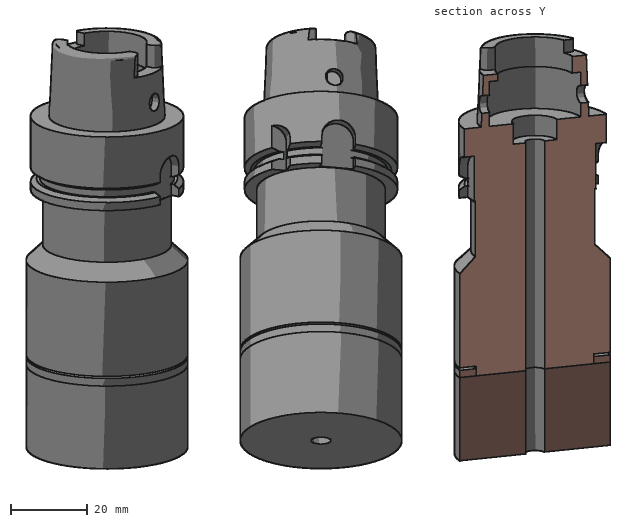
import cadquery as cq

TOTAL_HEIGHT = 110.0
BODY_RADIUS = 42.4 / 2
THROUGH_RADIUS = 5.2 / 2

NUT_HEIGHT = 22.5
RING_HEIGHT = 2.1
SPIGOT_RADIUS = 16.6

GAP_HEIGHT = 0.5
BODY_BOTTOM = NUT_HEIGHT + RING_HEIGHT + GAP_HEIGHT
BODY_TOP = 50.8
NECK_RADIUS = 16.8
NECK_BOTTOM = 55.0

SHANK_LENGTH = 20.0
FLANGE_THICKNESS = 20.0
FLANGE_RADIUS = 20.0
FLANGE_TOP = TOTAL_HEIGHT - SHANK_LENGTH
FLANGE_BOTTOM = FLANGE_TOP - FLANGE_THICKNESS
RIM_HEIGHT = 2.2
GROOVE_RADIUS = 17.6
GROOVE_FLOOR_HEIGHT = 2.1
GROOVE_CHAMFER_HEIGHT = 0.9
GROOVE_CHAMFER_DEPTH = 1.5

SLOT_WIDTH = 9.0
SLOT_TOP = 82.2
DRIVE_SLOT_FLOOR = 17.2
NOTCH_FLOOR = 11.9
NOTCH_INNER_WALL = 12.2

SHANK_BASE_RADIUS = 15.2
SHANK_TIP_RADIUS = 14.3
TIP_FILLET = 0.9
BORE_RADIUS = 10.5
LIP_HEIGHT = 8.0
UNDERCUT_RADIUS = 12.8
BORE_FLOOR = FLANGE_TOP
RECESS_RADIUS = 6.0
RECESS_DEPTH = 5.5
CROSS_HOLE_RADIUS = 2.3
CROSS_HOLE_DEPTH = 14.0

LEFT_NOTCH_DEPTH = 3.4
RIGHT_NOTCH_DEPTH = 6.0
TENON_GAP = 8.0
TENON_HALF_LENGTH = 12.9
TENON_CORNER_RADIUS = 1.6


def revolve(points):
    """Solid of revolution about Z from (radius, height) points."""
    return cq.Workplane("XZ").polyline(points).close().revolve(360, (0, 0, 0), (0, 1, 0))


def tube(outer_radius, bore_radius, bottom, height):
    """Ring-shaped solid around Z."""
    return cq.Workplane("XY", origin=(0, 0, bottom)).circle(outer_radius).circle(bore_radius).extrude(height)


def holder_blank():
    """Outside of the holder: spigot, body, neck and grooved flange."""
    rim_top = FLANGE_BOTTOM + RIM_HEIGHT
    groove_bottom = rim_top + GROOVE_CHAMFER_HEIGHT
    groove_top = groove_bottom + GROOVE_FLOOR_HEIGHT
    chamfer_radius = FLANGE_RADIUS - GROOVE_CHAMFER_DEPTH
    return revolve([
        (0, NUT_HEIGHT),
        (SPIGOT_RADIUS, NUT_HEIGHT),
        (SPIGOT_RADIUS, BODY_BOTTOM),
        (BODY_RADIUS, BODY_BOTTOM),
        (BODY_RADIUS, BODY_TOP),
        (NECK_RADIUS, NECK_BOTTOM),
        (NECK_RADIUS, FLANGE_BOTTOM),
        (FLANGE_RADIUS, FLANGE_BOTTOM),
        (FLANGE_RADIUS, rim_top),
        (chamfer_radius, groove_bottom),
        (GROOVE_RADIUS, groove_bottom),
        (GROOVE_RADIUS, groove_top),
        (chamfer_radius, groove_top),
        (FLANGE_RADIUS, groove_top + GROOVE_CHAMFER_HEIGHT),
        (FLANGE_RADIUS, FLANGE_TOP),
        (0, FLANGE_TOP),
    ])


def shank():
    """Tapered shank with a rounded tip edge."""
    taper = revolve([
        (0, FLANGE_TOP),
        (SHANK_BASE_RADIUS, FLANGE_TOP),
        (SHANK_TIP_RADIUS, TOTAL_HEIGHT),
        (0, TOTAL_HEIGHT),
    ])
    return taper.faces(">Z").edges().fillet(TIP_FILLET)


def bore():
    """Stepped cavity: lip, undercut, recess and the hole through to the lower end."""
    lip_bottom = TOTAL_HEIGHT - LIP_HEIGHT
    recess_floor = BORE_FLOOR - RECESS_DEPTH
    return revolve([
        (0, NUT_HEIGHT),
        (THROUGH_RADIUS, NUT_HEIGHT),
        (THROUGH_RADIUS, recess_floor),
        (RECESS_RADIUS, recess_floor),
        (RECESS_RADIUS, BORE_FLOOR),
        (UNDERCUT_RADIUS, BORE_FLOOR),
        (UNDERCUT_RADIUS, lip_bottom),
        (BORE_RADIUS, lip_bottom),
        (BORE_RADIUS, TOTAL_HEIGHT),
        (0, TOTAL_HEIGHT),
    ])


def cross_hole():
    """Radial hole along X through both walls of the shank."""
    height = TOTAL_HEIGHT - CROSS_HOLE_DEPTH
    start = (-SHANK_BASE_RADIUS, 0, height)
    return cq.Workplane("YZ", origin=start).circle(CROSS_HOLE_RADIUS).extrude(2 * SHANK_BASE_RADIUS)


def end_notch(side, depth):
    """Notch across one side (-1 or +1 in X) of the shank tip, leaving round-cornered tenons."""
    floor = TOTAL_HEIGHT - depth
    reach = SHANK_BASE_RADIUS
    plane = cq.Workplane("XY", origin=(0, 0, floor))
    notch = plane.center(side * reach / 2, 0).rect(reach, 2 * reach).extrude(depth)
    tenon_centre = TENON_GAP / 2 + reach / 2
    tenons = (
        plane.pushPoints([(0, -tenon_centre), (0, tenon_centre)])
        .rect(2 * TENON_HALF_LENGTH, reach)
        .extrude(depth)
        .edges("|Z")
        .fillet(TENON_CORNER_RADIUS)
    )
    return notch.cut(tenons)


def flange_slot(side, floor, centre_y):
    """Round-topped slot open at the flange bottom, cut along X from a flat floor outward."""
    half_width = SLOT_WIDTH / 2
    arc_height = SLOT_TOP - half_width
    return (
        cq.Workplane("YZ", origin=(side * floor, centre_y, 0))
        .moveTo(-half_width, FLANGE_BOTTOM)
        .lineTo(half_width, FLANGE_BOTTOM)
        .lineTo(half_width, arc_height)
        .threePointArc((0, SLOT_TOP), (-half_width, arc_height))
        .close()
        .extrude(side * (FLANGE_RADIUS - floor))
    )


def make_holder():
    """Tool holder with hollow taper shank, flange, neck and body."""
    holder = holder_blank().union(shank()).cut(bore()).cut(cross_hole())
    for side, depth in ((-1, LEFT_NOTCH_DEPTH), (1, RIGHT_NOTCH_DEPTH)):
        holder = holder.cut(end_notch(side, depth))
        holder = holder.cut(flange_slot(side, DRIVE_SLOT_FLOOR, 0))
    notch_centre = NOTCH_INNER_WALL + SLOT_WIDTH / 2
    return holder.cut(flange_slot(-1, NOTCH_FLOOR, notch_centre)).solids()


def make_ring():
    """Thin ring around the spigot, resting on the nut."""
    return tube(BODY_RADIUS, SPIGOT_RADIUS, NUT_HEIGHT, RING_HEIGHT)


def make_nut():
    """Plain cylindrical nut at the lower end."""
    return tube(BODY_RADIUS, THROUGH_RADIUS, 0, NUT_HEIGHT)


holder = make_holder()
ring = make_ring()
nut = make_nut()

result = cq.Compound.makeCompound([holder.val(), ring.val(), nut.val()])